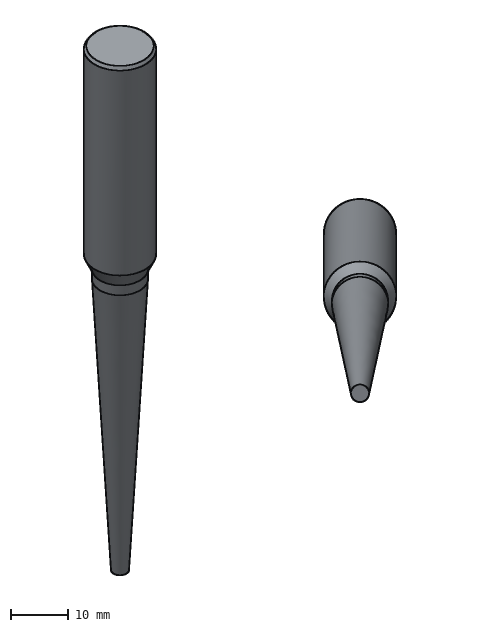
import cadquery as cq
import math

total_length = 114.3
cutter_length = 63.5
neck_length = 2.2
flare_height = 3.2

shank_radius = 12.7 / 2
tip_radius = 1.6
taper_angle = 3.0
cutter_radius = tip_radius + cutter_length * math.tan(math.radians(taper_angle))

bevel_width = 0.5
bevel_height = 0.7

neck_top = cutter_length + neck_length
flare_top = neck_top + flare_height


def make_cutter():
    """Tapered cutter from the flat tip up to the shank."""
    profile = (
        cq.Workplane("XZ")
        .lineTo(tip_radius, 0)
        .lineTo(cutter_radius, cutter_length)
        .lineTo(0, cutter_length)
        .close()
    )
    return profile.revolve(360, (0, 0), (0, 1))


def make_shank():
    """Round shank with a straight neck, a conical flare and a bevelled top."""
    profile = (
        cq.Workplane("XZ")
        .moveTo(0, cutter_length)
        .lineTo(cutter_radius, cutter_length)
        .lineTo(cutter_radius, neck_top)
        .lineTo(shank_radius, flare_top)
        .lineTo(shank_radius, total_length - bevel_height)
        .lineTo(shank_radius - bevel_width, total_length)
        .lineTo(0, total_length)
        .close()
    )
    return profile.revolve(360, (0, 0), (0, 1))


cutter = make_cutter()
shank = make_shank()

result = cq.Compound.makeCompound([cutter.val(), shank.val()])